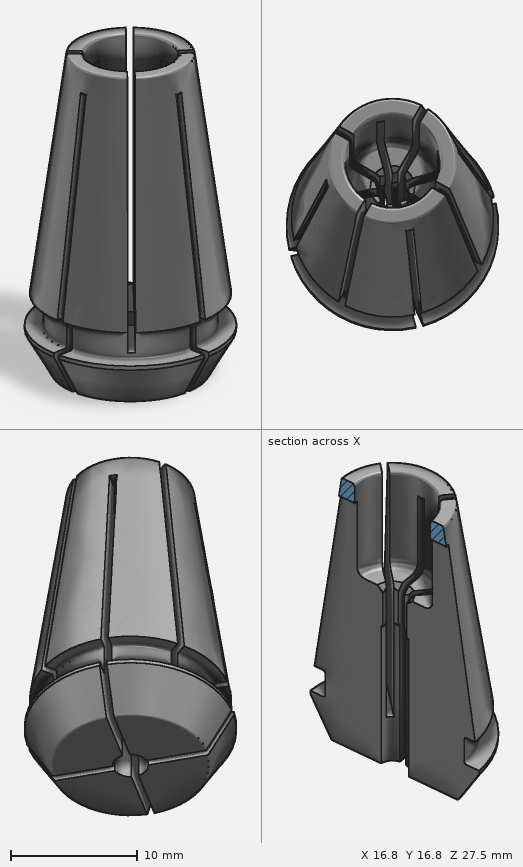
import cadquery as cq
import math

total_length = 27.5

flange_radius = 8.4
flange_top = 4.0
flange_rim_height = 0.35
face_angle = math.radians(30)
face_edge_radius = 0.2

groove_radius = 6.93
groove_top = 6.7
groove_fillet = 0.2

taper_radius = 8.0
taper_angle = math.radians(8)
taper_edge_radius = 0.25

shank_radius = 1.4
shank_depth = 14.0
square_width = 2.35
square_lead_in_radius = 1.75
relief_radius = 3.75
relief_floor = 18.0
relief_floor_fillet = 0.8
relief_mouth_fillet = 0.3

slot_width = 0.6
slot_overrun = 1.0
face_slot_top = 25.5
rear_slot_floor = 4.5
rear_slot_angle = 45


def cone_shrink(height, angle):
    """Radius lost by a cone of the given half angle over a height."""
    return height * math.tan(angle)


def make_body():
    """Solid of revolution with rounded ends and a filleted groove."""
    rim_bottom = flange_top - flange_rim_height
    face_radius = flange_radius - cone_shrink(rim_bottom, face_angle)
    rear_radius = taper_radius - cone_shrink(total_length - groove_top, taper_angle)
    half_outline = [
        (0, 0),
        (face_radius, 0),
        (flange_radius, rim_bottom),
        (flange_radius, flange_top),
        (groove_radius, flange_top),
        (groove_radius, groove_top),
        (taper_radius, groove_top),
        (rear_radius, total_length),
        (0, total_length),
    ]
    body = cq.Workplane("XZ").polyline(half_outline).close().revolve(360, (0, 0), (0, 1))
    body = body.edges("<Z").fillet(face_edge_radius)
    body = body.edges(">Z").fillet(taper_edge_radius)
    around_groove = cq.selectors.BoxSelector(
        (-flange_radius, -flange_radius, rim_bottom),
        (flange_radius, flange_radius, groove_top + groove_fillet),
    )
    return body.edges(around_groove).edges(cq.selectors.RadiusNthSelector(0)).fillet(groove_fillet)


def make_bore():
    """Everything removed along the axis, from the shank hole to the rear relief."""
    shank_hole = cq.Workplane().circle(shank_radius).extrude(shank_depth)
    square_hole = (
        cq.Workplane()
        .workplane(offset=shank_depth)
        .rect(square_width, square_width)
        .extrude(relief_floor - shank_depth)
    )
    lead_in = cq.Workplane(
        cq.Solid.makeCone(
            square_lead_in_radius,
            0,
            square_lead_in_radius,
            cq.Vector(0, 0, relief_floor),
            cq.Vector(0, 0, -1),
        )
    )
    relief = (
        cq.Workplane()
        .workplane(offset=relief_floor)
        .circle(relief_radius)
        .extrude(total_length - relief_floor)
        .edges("<Z")
        .fillet(relief_floor_fillet)
    )
    return shank_hole.union(square_hole).union(lead_in).union(relief)


def make_slots(bottom, top, start_angle):
    """Two crossing full-width slots, which open at four places around the part."""
    slots = cq.Workplane()
    for angle in (start_angle, start_angle + 90):
        slot = (
            cq.Workplane()
            .workplane(offset=bottom)
            .rect(2 * flange_radius + slot_overrun, slot_width)
            .extrude(top - bottom)
            .rotate((0, 0, 0), (0, 0, 1), angle)
        )
        slots = slots.add(slot)
    return slots.combine()


collet = make_body().cut(make_bore())
relief_mouth = collet.faces(">Z").edges(cq.selectors.RadiusNthSelector(0))
collet = relief_mouth.fillet(relief_mouth_fillet)
collet = collet.cut(make_slots(0, face_slot_top, 0))
collet = collet.cut(make_slots(rear_slot_floor, total_length, rear_slot_angle))
result = collet